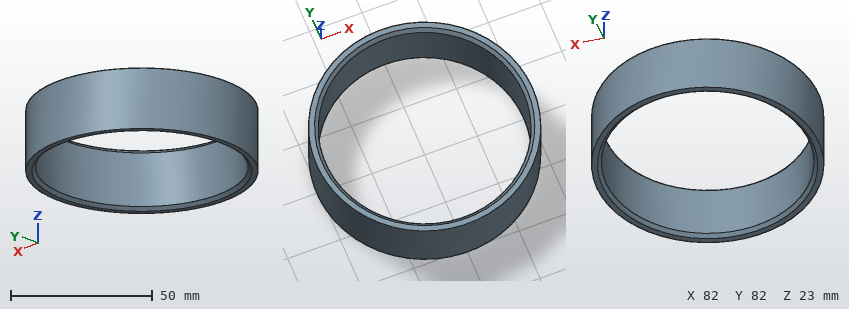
import cadquery as cq

outer_diameter = 82.0
bore_diameter = 75.1
height = 23.0
bore_chamfer = 1.3

ring = (
    cq.Workplane("XY")
    .circle(outer_diameter / 2)
    .circle(bore_diameter / 2)
    .extrude(height)
)

bore_edges = ring.edges(cq.selectors.RadiusNthSelector(0))
result = bore_edges.chamfer(bore_chamfer)